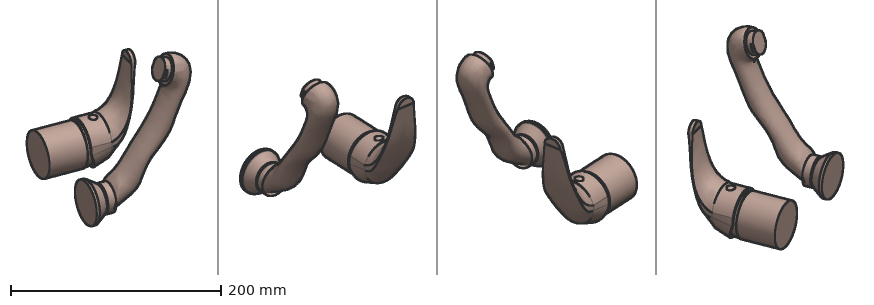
import cadquery as cq
import math

SPOUT_X = 100.0

BASE_RADIUS = 24.0
BASE_LENGTH = 41.1
NECK_RADIUS = 23.4
NECK_DOME_CENTRE_Y = 42.8

SKIRT_FRONT_Y = 44.4
SKIRT_REAR_Y = 66.6
SKIRT_RADIUS = 25.7
SKIRT_LOW_FRONT_Z = -28.1
SKIRT_LOW_REAR_Z = -19.2
LIP_START_Z = 0.3
LIP_END_Y = 53.0
LIP_END_Z = -24.7
SKIRT_HALF_WIDTH = 25.5
SIDE_HALF_WIDTH = 24.2
SIDE_TOP_Z = 8.7
SIDE_LOW_FRONT_Z = 0.0
SIDE_LOW_REAR_Z = 3.3

TIP_HALF_WIDTH = 9.7
TIP_BASE_Z = 80.3
TIP_TOP_Z = 88.8
TIP_FRONT_Y = 94.5
TIP_REAR_Y = 99.2
TIP_BULGE = 0.2

HANDLE_STATIONS = [
    ((76.8, 30.8), (80.5, 18.3), (81.5, 14.5), (83.5, 8.5), 22.5, 23.0),
    ((84.9, 40.5), (87.5, 31.3), (88.0, 29.6), (89.1, 25.5), 20.0, 20.4),
    ((89.1, 54.8), (91.6, 47.7), (92.8, 46.0), (93.8, 43.1), 16.5, 16.8),
    ((92.3, 65.5), (93.5, 64.0), (95.5, 62.5), (96.9, 61.2), 13.2, 13.5),
]

BUTTON_Y = 58.5
BUTTON_RADIUS = 4.1
BUTTON_RISE = 1.3

FLANGE_RADIUS = 23.0
FLANGE_LENGTH = 3.3
CONE_START_RADIUS = 22.4
CONE_START_Y = 4.6
CONE_END_Y = 14.8
TUBE_RADIUS = 15.6
GROOVE_RADIUS = 15.1
GROOVE_END_Y = 16.1
COLLAR_END_Y = 24.7

TUBE_STATIONS = [
    ((33.4, 25.3), (43.1, -1.0)),
    ((43.5, 37.2), (58.2, 19.7)),
    ((61.7, 62.7), (76.8, 47.7)),
    ((76.2, 87.5), (92.8, 75.3)),
    ((82.5, 103.8), (105.8, 104.3)),
    ((82.5, 107.0), (110.0, 123.4)),
    ((81.9, 109.2), (101.0, 136.8)),
]
MOUTH_TOP = (89.8, 139.5)
MOUTH_LOW = (79.6, 111.0)
NOZZLE_RADIUS = 11.7
NOZZLE_LENGTH = 7.4
NOZZLE_OFFSET = 0.2
FLAT_HALF_SPAN = 10.9
FLAT_LENGTH = 3.0


def lever_section(top, side_top, side_low, low, top_half_width, low_half_width):
    """Closed section from (Y, Z) points: two bowed faces joined by straight side walls."""
    left_top = cq.Vector(-top_half_width, *side_top)
    right_top = cq.Vector(top_half_width, *side_top)
    left_low = cq.Vector(-low_half_width, *side_low)
    right_low = cq.Vector(low_half_width, *side_low)
    return cq.Wire.assembleEdges([
        cq.Edge.makeThreePointArc(left_top, cq.Vector(0, *top), right_top),
        cq.Edge.makeLine(right_top, right_low),
        cq.Edge.makeThreePointArc(right_low, cq.Vector(0, *low), left_low),
        cq.Edge.makeLine(left_low, left_top),
    ])


def turned(profile, x):
    """Solid turned from (radius, Y) points about the Y axis through x."""
    return cq.Workplane("XY").polyline(profile).close().revolve(360, (0, 0), (0, 1)).translate((x, 0, 0))


def make_base():
    """Cylinder ending in a shallow neck that domes into the skirt."""
    cylinder = cq.Workplane("XZ").circle(BASE_RADIUS).extrude(-BASE_LENGTH)
    dome = cq.Workplane("XY").sphere(NECK_RADIUS).translate((0, NECK_DOME_CENTRE_Y, 0))
    return cylinder.union(dome)


def skirt_rear_section():
    return lever_section(
        (SKIRT_REAR_Y, SKIRT_RADIUS), (SKIRT_REAR_Y, SIDE_TOP_Z), (SKIRT_REAR_Y, SIDE_LOW_REAR_Z),
        (SKIRT_REAR_Y, SKIRT_LOW_REAR_Z), SIDE_HALF_WIDTH, SIDE_HALF_WIDTH)


def make_skirt():
    """Round sleeve around the neck, its lower lip cut back on a slant."""
    front = lever_section(
        (SKIRT_FRONT_Y, SKIRT_RADIUS), (SKIRT_FRONT_Y, SIDE_TOP_Z), (SKIRT_FRONT_Y, SIDE_LOW_FRONT_Z),
        (SKIRT_FRONT_Y, SKIRT_LOW_FRONT_Z), SIDE_HALF_WIDTH, SKIRT_HALF_WIDTH)
    sleeve = cq.Workplane(cq.Solid.makeLoft([front, skirt_rear_section()], True))
    lip_slope = (LIP_END_Y - SKIRT_FRONT_Y) / (LIP_START_Z - LIP_END_Z)
    cut_depth = 2 * SKIRT_RADIUS
    slant = (
        cq.Workplane("YZ")
        .polyline([
            (SKIRT_FRONT_Y, LIP_START_Z),
            (SKIRT_FRONT_Y + lip_slope * cut_depth, LIP_START_Z - cut_depth),
            (SKIRT_FRONT_Y, LIP_START_Z - cut_depth),
        ])
        .close()
        .extrude(cut_depth, both=True)
    )
    return sleeve.cut(slant)


def make_handle():
    """Tapering, bowed blade that sweeps up from the skirt to a flat rounded tip."""
    sections = [
        skirt_rear_section(),
        *[lever_section(*station) for station in HANDLE_STATIONS],
        lever_section(
            (TIP_FRONT_Y - TIP_BULGE, TIP_BASE_Z), (TIP_FRONT_Y, TIP_BASE_Z), (TIP_REAR_Y, TIP_BASE_Z),
            (TIP_REAR_Y + TIP_BULGE, TIP_BASE_Z), TIP_HALF_WIDTH, TIP_HALF_WIDTH),
    ]
    blade = cq.Workplane(cq.Solid.makeLoft(sections))
    tip = (
        cq.Workplane("XZ", origin=(0, TIP_FRONT_Y, 0))
        .moveTo(-TIP_HALF_WIDTH, TIP_BASE_Z)
        .threePointArc((0, TIP_TOP_Z), (TIP_HALF_WIDTH, TIP_BASE_Z))
        .close()
        .extrude(TIP_FRONT_Y - TIP_REAR_Y)
    )
    return blade.union(tip)


def make_button():
    """Low spherical cap on top of the skirt."""
    ball_radius = (BUTTON_RADIUS ** 2 + BUTTON_RISE ** 2) / (2 * BUTTON_RISE)
    ball_z = SKIRT_RADIUS + BUTTON_RISE - ball_radius
    return cq.Workplane("XY").sphere(ball_radius).translate((0, BUTTON_Y, ball_z))


def make_lever_control():
    return make_base().union(make_skirt()).union(make_handle()).union(make_button())


def make_spout_foot():
    """Wall flange, cone, narrow groove and collar in one turned shape."""
    return turned([
        (0, 0),
        (FLANGE_RADIUS, 0),
        (FLANGE_RADIUS, FLANGE_LENGTH),
        (CONE_START_RADIUS, CONE_START_Y),
        (TUBE_RADIUS, CONE_END_Y),
        (GROOVE_RADIUS, CONE_END_Y),
        (GROOVE_RADIUS, GROOVE_END_Y),
        (TUBE_RADIUS, GROOVE_END_Y),
        (TUBE_RADIUS, COLLAR_END_Y),
        (0, COLLAR_END_Y),
    ], SPOUT_X)


def tube_section(inner, outer):
    """Elliptical section of constant width whose depth runs between two (Y, Z) points."""
    depth = math.dist(inner, outer)
    across = cq.Vector(0, inner[0] - outer[0], inner[1] - outer[1])
    centre = cq.Vector(SPOUT_X, (inner[0] + outer[0]) / 2, (inner[1] + outer[1]) / 2)
    side = cq.Vector(1, 0, 0)
    outline = cq.Edge.makeEllipse(TUBE_RADIUS, depth / 2, centre, side.cross(across), side, 0, 360)
    return cq.Wire.assembleEdges([outline])


def make_spout_tube():
    """Bent tube from the collar to the hooked head, flattened front to back on the way."""
    sections = [
        tube_section((COLLAR_END_Y, TUBE_RADIUS), (COLLAR_END_Y, -TUBE_RADIUS)),
        *[tube_section(inner, outer) for inner, outer in TUBE_STATIONS],
        tube_section(MOUTH_LOW, MOUTH_TOP),
    ]
    return cq.Workplane(cq.Solid.makeLoft(sections))


def make_nozzle():
    """Short round outlet on the mouth, with a small flat on each side of its rim."""
    centre = ((MOUTH_LOW[0] + MOUTH_TOP[0]) / 2, (MOUTH_LOW[1] + MOUTH_TOP[1]) / 2)
    rise = (MOUTH_TOP[0] - MOUTH_LOW[0], MOUTH_TOP[1] - MOUTH_LOW[1])
    mouth = cq.Plane(
        origin=(SPOUT_X, *centre), xDir=(1, 0, 0), normal=(0, -rise[1], rise[0]))
    nozzle = cq.Workplane(mouth).center(0, NOZZLE_OFFSET).circle(NOZZLE_RADIUS).extrude(NOZZLE_LENGTH)
    flat_cut = NOZZLE_RADIUS - FLAT_HALF_SPAN
    for side in (-1, 1):
        flat = (
            cq.Workplane(mouth)
            .workplane(offset=NOZZLE_LENGTH - FLAT_LENGTH)
            .center(side * (FLAT_HALF_SPAN + flat_cut / 2), NOZZLE_OFFSET)
            .rect(flat_cut, 2 * NOZZLE_RADIUS)
            .extrude(FLAT_LENGTH)
        )
        nozzle = nozzle.cut(flat)
    return nozzle


def make_spout():
    return make_spout_foot().union(make_spout_tube()).union(make_nozzle())


lever_control = make_lever_control()
spout = make_spout()

result = cq.Compound.makeCompound([lever_control.val(), spout.val()])